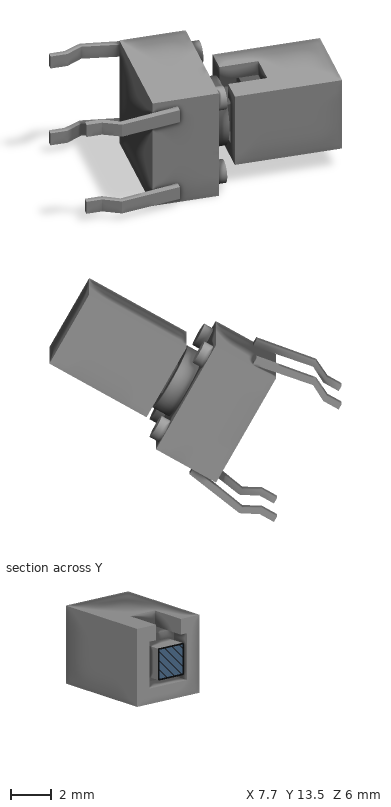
import cadquery as cq


HOUSING_SIDE = 6.0
HOUSING_DEPTH = 3.4
STUD_DIAMETER = 1.2
STUD_HEIGHT = 0.5
STUD_PITCH = 4.3

LEG_THICKNESS = 0.3
LEG_WIDTH = 0.7
LEG_PITCH = 4.5
LEG_TOP_Y = 1.3
LEG_SHOULDER_X = 3.35
LEG_KNEE_X = 3.85
LEG_KNEE_Y = -1.8
LEG_FOOT_X = 3.4
LEG_BEND_Y = -2.7
LEG_INNER_BEND_Y = -2.63
LEG_END_Y = -3.5

COLLAR_DIAMETER = 3.5
COLLAR_HEIGHT = 0.9
STEM_SIDE = 1.6

CAP_SIDE = 4.0
CAP_LENGTH = 5.5
CAP_GAP = 0.2
SOCKET_SIDE = 2.4
SOCKET_DEPTH = 1.0
WINDOW_WIDTH = STEM_SIDE
WINDOW_LENGTH = 2.0

collar_end_y = HOUSING_DEPTH + COLLAR_HEIGHT
cap_start_y = collar_end_y + CAP_GAP
stem_end_y = cap_start_y + SOCKET_DEPTH


def block(size_x, size_z, start_y, length):
    """Box centred on the switch axis, running from start_y toward +Y."""
    return cq.Workplane("XY").box(size_x, length, size_z).translate((0, start_y + length / 2, 0))


def cylinder(x, z, diameter, start_y, length):
    """Cylinder parallel to the switch axis, running from start_y toward +Y."""
    start = cq.Vector(x, start_y, z)
    return cq.Workplane(cq.Solid.makeCylinder(diameter / 2, length, start, cq.Vector(0, 1, 0)))


def make_leg(z):
    """Bent leg on the +X side, centred at height z."""
    outer_edge = [
        (HOUSING_SIDE / 2, LEG_TOP_Y),
        (LEG_SHOULDER_X, LEG_TOP_Y),
        (LEG_KNEE_X, LEG_KNEE_Y),
        (LEG_FOOT_X, LEG_BEND_Y),
        (LEG_FOOT_X, LEG_END_Y),
    ]
    inner_edge = [
        (LEG_FOOT_X - LEG_THICKNESS, LEG_END_Y),
        (LEG_FOOT_X - LEG_THICKNESS, LEG_INNER_BEND_Y),
        (LEG_KNEE_X - LEG_THICKNESS, LEG_KNEE_Y),
        (LEG_SHOULDER_X - LEG_THICKNESS, LEG_TOP_Y - LEG_THICKNESS),
        (HOUSING_SIDE / 2, LEG_TOP_Y - LEG_THICKNESS),
    ]
    return (
        cq.Workplane("XY", origin=(0, 0, z))
        .polyline(outer_edge + inner_edge)
        .close()
        .extrude(LEG_WIDTH / 2, both=True)
    )


def make_housing():
    """Square housing with four front studs and two legs on each side."""
    housing = block(HOUSING_SIDE, HOUSING_SIDE, 0, HOUSING_DEPTH)
    for side_x in (-1, 1):
        for side_z in (-1, 1):
            stud_x = side_x * STUD_PITCH / 2
            stud_z = side_z * STUD_PITCH / 2
            housing = housing.union(cylinder(stud_x, stud_z, STUD_DIAMETER, HOUSING_DEPTH, STUD_HEIGHT))
    for side_z in (-1, 1):
        leg = make_leg(side_z * LEG_PITCH / 2)
        housing = housing.union(leg).union(leg.mirror("YZ"))
    return housing


def make_button():
    """Round collar resting on the housing, with a square stem reaching into the cap."""
    collar = cylinder(0, 0, COLLAR_DIAMETER, HOUSING_DEPTH, COLLAR_HEIGHT)
    stem = block(STEM_SIDE, STEM_SIDE, collar_end_y, stem_end_y - collar_end_y)
    return collar.union(stem)


def make_cap():
    """Square cap with a socket for the stem and a window in its top face."""
    cap = block(CAP_SIDE, CAP_SIDE, cap_start_y, CAP_LENGTH)
    socket = block(SOCKET_SIDE, SOCKET_SIDE, cap_start_y, SOCKET_DEPTH)
    window_depth = (CAP_SIDE - SOCKET_SIDE) / 2
    window_z = (CAP_SIDE + SOCKET_SIDE) / 4
    window = block(WINDOW_WIDTH, window_depth, cap_start_y, WINDOW_LENGTH).translate((0, 0, window_z))
    return cap.cut(socket).cut(window)


housing = make_housing()
button = make_button()
cap = make_cap()

result = cq.Compound.makeCompound([housing.val(), button.val(), cap.val()])